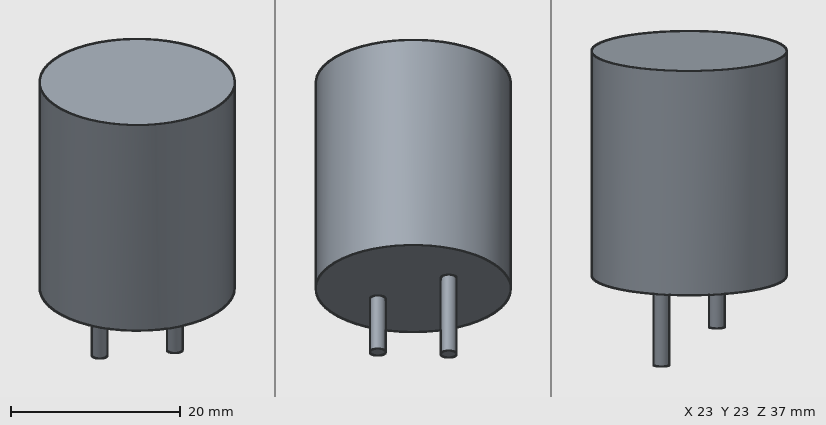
import cadquery as cq

can_diameter = 23.0
can_height = 27.0

overall_height = 37.0
pin_diameter = 1.9
pin_spacing = 10.0
long_pin_length = overall_height - can_height
short_pin_length = 7.0


def make_can():
    """Plain solid cylinder rising from the base plane."""
    return cq.Workplane("XY").circle(can_diameter / 2).extrude(can_height)


def make_pin(x_position, length):
    """Round pin hanging down from the base plane at the given X."""
    return cq.Workplane("XY").center(x_position, 0).circle(pin_diameter / 2).extrude(-length)


can = make_can()

pins = []
for side, length in ((-1, long_pin_length), (1, short_pin_length)):
    pins.append(make_pin(side * pin_spacing / 2, length).val())

result = cq.Compound.makeCompound([can.val(), *pins])